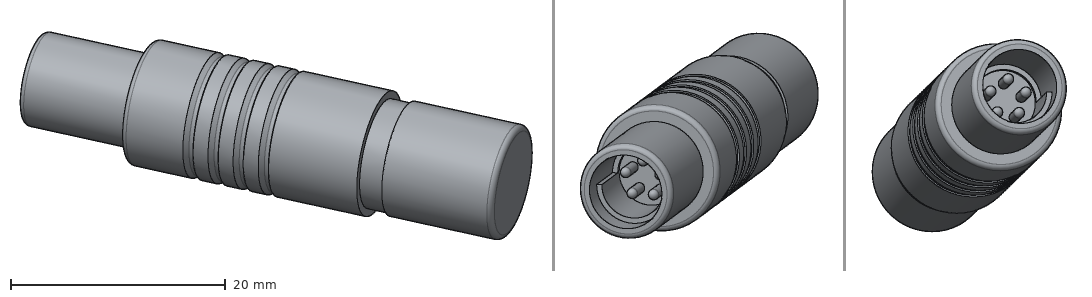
import cadquery as cq
import math

total_length = 47.5
half_length = total_length / 2
plug_length = 10.75
body_length = 23.45
neck_length = 2.3
front_x = -half_length
body_x = front_x + plug_length
neck_x = body_x + body_length
rear_x = neck_x + neck_length
rear_length = half_length - rear_x

plug_radius = 4.5
body_radius = 6.0
neck_radius = 5.25
rear_radius = 5.5
front_rounding = 0.5
rear_rounding = 0.55

groove_count = 4
groove_pitch = 2.5
groove_half_width = 0.5
flank_drop = 0.28
rear_wall_height = 0.15
first_groove_x = body_x + 6.15

socket_radius = 3.5
socket_depth = 8.0
shell_radius = 3.0
shell_setback = 2.5
contact_recess = 0.5

pin_count = 5
pin_radius = 0.5
pin_length = 3.0
pin_circle_radius = 1.75


def axial_cylinder(start_x, length, radius):
    """Cylinder on the X axis that starts at start_x and runs toward +X."""
    return cq.Workplane("YZ", origin=(start_x, 0, 0)).circle(radius).extrude(length)


def outer_shell():
    """Stepped cylindrical outside with rounded leading edges and a rounded rear end."""
    plug = axial_cylinder(front_x, plug_length, plug_radius).faces("<X").edges().fillet(front_rounding)
    body = axial_cylinder(body_x, body_length, body_radius).faces("<X").edges().fillet(front_rounding)
    neck = axial_cylinder(neck_x, neck_length, neck_radius)
    rear = axial_cylinder(rear_x, rear_length, rear_radius).faces(">X").edges().fillet(rear_rounding)
    return plug.union(body).union(neck).union(rear)


def grip_groove(start_x):
    """Ring cutter: a conical front flank that runs smoothly into an arc below a square rear wall."""
    flank_end_x = start_x + groove_half_width
    end_x = flank_end_x + groove_half_width
    return (
        cq.Workplane("XY")
        .moveTo(start_x, body_radius)
        .lineTo(flank_end_x, body_radius - flank_drop)
        .tangentArcPoint((end_x, body_radius - rear_wall_height), relative=False)
        .lineTo(end_x, body_radius)
        .close()
        .revolve(360, (0, 0, 0), (1, 0, 0))
    )


def socket():
    """Socket cutter: full bore in front, upper half-bore beside the shell, recess for the contacts."""
    bore = axial_cylinder(front_x, socket_depth, socket_radius)
    shell_length = socket_depth - shell_setback
    shell_block = (
        cq.Workplane("XY")
        .box(shell_length, 2 * socket_radius, socket_radius, centered=(False, True, False))
        .translate((front_x + shell_setback, 0, -socket_radius))
    )
    recess = axial_cylinder(front_x, socket_depth + contact_recess, shell_radius)
    return bore.cut(shell_block).union(recess)


def contact_pin(angle):
    """Round-tipped pin standing on the contact face, placed on the pin circle."""
    contact_face_x = front_x + socket_depth + contact_recess
    tip_center_x = contact_face_x - pin_length + pin_radius
    pin = axial_cylinder(tip_center_x, pin_length - pin_radius, pin_radius)
    tip = cq.Workplane("XY").sphere(pin_radius).translate((tip_center_x, 0, 0))
    return pin.union(tip).translate(
        (0, pin_circle_radius * math.cos(angle), pin_circle_radius * math.sin(angle))
    )


connector = outer_shell()
for groove_index in range(groove_count):
    connector = connector.cut(grip_groove(first_groove_x + groove_index * groove_pitch))
connector = connector.cut(socket())
for pin_index in range(pin_count):
    pin_angle = math.pi / 2 + pin_index * 2 * math.pi / pin_count
    connector = connector.union(contact_pin(pin_angle))

result = connector